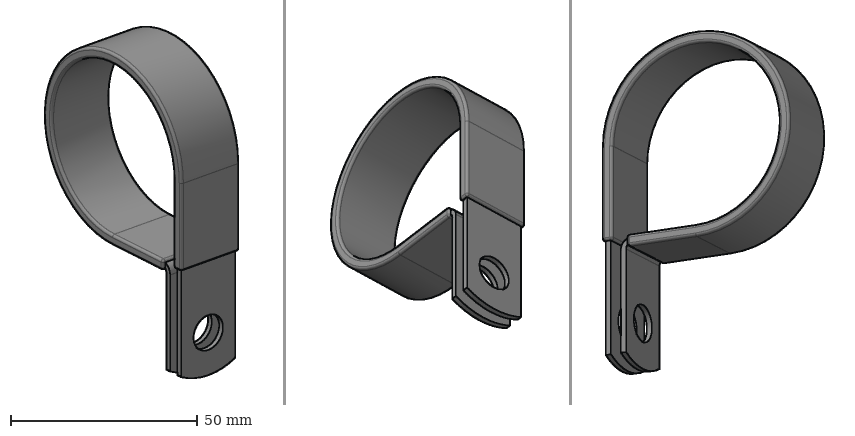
import cadquery as cq
import math


loop_inner_radius = 25.4
strap_thickness = 1.5875
strap_width = 19.05

cushion_cover = 0.79375
cushion_edge_radius = 0.79
cushion_shelf_end = 21.03

leg_gap = 3.05
leg_end_depth = 60.325
bend_inner_radius = 1.4
tip_radius = 20.6375
hole_diameter = 10.31875
hole_to_tip = 12.7

cushion_thickness = strap_thickness + 2 * cushion_cover
cushion_width = strap_width + 2 * cushion_cover
loop_outer_radius = loop_inner_radius + cushion_thickness
strap_inner_radius = loop_inner_radius + cushion_cover
strap_outer_radius = strap_inner_radius + strap_thickness
cushion_leg_end = strap_inner_radius

leg_root_depth = cushion_leg_end - cushion_thickness
shelf_root_x = cushion_shelf_end - cushion_thickness
bend_outer_radius = bend_inner_radius + strap_thickness
short_leg_outer_x = strap_inner_radius - leg_gap
short_leg_inner_x = short_leg_outer_x - strap_thickness
bend_x = short_leg_outer_x - bend_outer_radius
bend_z = -strap_outer_radius - bend_inner_radius

diagonal = math.sqrt(0.5)


def centred_extrude(profile, width):
    """Extrude an XZ profile by the given width, centred on Y = 0."""
    return profile.extrude(width / 2, both=True)


def end_edges(body, corner_a, corner_b):
    """Edges along Y at the end face that spans two XZ corners."""
    (xa, za), (xb, zb) = corner_a, corner_b
    margin = cushion_cover
    box = cq.selectors.BoxSelector(
        (min(xa, xb) - margin, -cushion_width, min(za, zb) - margin),
        (max(xa, xb) + margin, cushion_width, max(za, zb) + margin),
    )
    return body.edges("|Y").edges(box)


def make_cushion():
    """Three-quarter loop with two straight ends, rounded along its sides and ends."""
    inner = loop_inner_radius
    outer = loop_outer_radius
    leg_corners = (inner, -cushion_leg_end), (outer, -cushion_leg_end)
    shelf_corners = (cushion_shelf_end, -inner), (cushion_shelf_end, -outer)
    profile = (
        cq.Workplane("XZ")
        .moveTo(*leg_corners[1])
        .lineTo(outer, 0)
        .threePointArc((-outer * diagonal, outer * diagonal), (0, -outer))
        .lineTo(*shelf_corners[1])
        .lineTo(*shelf_corners[0])
        .lineTo(0, -inner)
        .threePointArc((-inner * diagonal, inner * diagonal), (inner, 0))
        .lineTo(*leg_corners[0])
        .close()
    )
    body = centred_extrude(profile, cushion_width)
    rounded_edges = (
        body.faces("<Y or >Y").edges()
        .add(end_edges(body, *leg_corners))
        .add(end_edges(body, *shelf_corners))
    )
    return rounded_edges.fillet(cushion_edge_radius)


def make_long_leg():
    """Straight leg continuing the +X side of the loop."""
    profile = (
        cq.Workplane("XZ")
        .moveTo(strap_inner_radius, -leg_root_depth)
        .lineTo(strap_outer_radius, -leg_root_depth)
        .lineTo(strap_outer_radius, -leg_end_depth)
        .lineTo(strap_inner_radius, -leg_end_depth)
        .close()
    )
    return centred_extrude(profile, strap_width)


def bend_middle(radius):
    """Point halfway round the bend at the given radius."""
    return bend_x + radius * diagonal, bend_z + radius * diagonal


def make_short_leg():
    """Leg bent down from the horizontal stretch under the loop."""
    profile = (
        cq.Workplane("XZ")
        .moveTo(shelf_root_x, -strap_inner_radius)
        .lineTo(bend_x, -strap_inner_radius)
        .threePointArc(bend_middle(bend_outer_radius), (short_leg_outer_x, bend_z))
        .lineTo(short_leg_outer_x, -leg_end_depth)
        .lineTo(short_leg_inner_x, -leg_end_depth)
        .lineTo(short_leg_inner_x, bend_z)
        .threePointArc(bend_middle(bend_inner_radius), (bend_x, -strap_outer_radius))
        .lineTo(shelf_root_x, -strap_outer_radius)
        .close()
    )
    return centred_extrude(profile, strap_width)


def make_leg_outline():
    """Block across both legs with the round tip and the bolt hole, used to trim them."""
    half_width = strap_width / 2
    tip_rise = tip_radius - math.sqrt(tip_radius**2 - half_width**2)
    tip_side_z = -leg_end_depth + tip_rise
    outline = (
        cq.Workplane("YZ")
        .moveTo(-half_width, 0)
        .lineTo(-half_width, tip_side_z)
        .threePointArc((0, -leg_end_depth), (half_width, tip_side_z))
        .lineTo(half_width, 0)
        .close()
        .extrude(strap_outer_radius)
    )
    hole = (
        cq.Workplane("YZ")
        .center(0, -leg_end_depth + hole_to_tip)
        .circle(hole_diameter / 2)
        .extrude(strap_outer_radius)
    )
    return outline.cut(hole)


legs = make_long_leg().union(make_short_leg()).intersect(make_leg_outline())
result = make_cushion().union(legs)